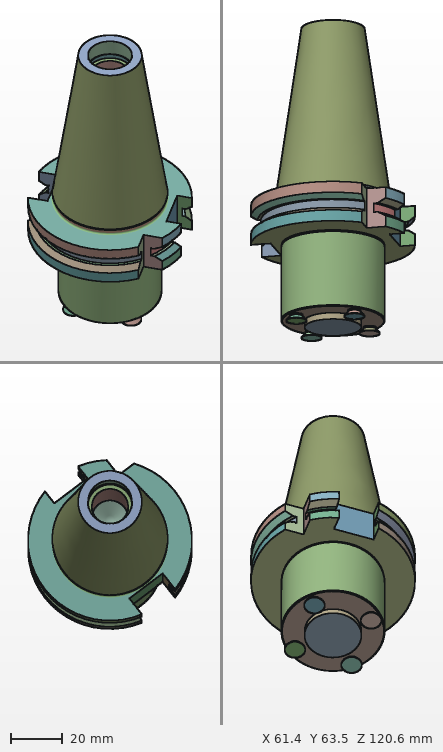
import cadquery as cq
import math

total_height = 120.6
boss_height = 2.5
flange_bottom = 33.3
flange_height = 15.9
flange_top = flange_bottom + flange_height
flange_middle = flange_bottom + flange_height / 2
taper_bottom = 51.9

taper_ratio = 7 / 24
shank_tip_diameter = 24.6
shank_base_diameter = shank_tip_diameter + taper_ratio * (total_height - taper_bottom)
shank_edge_height = 0.7
collar_diameter = 44.0
collar_fillet = 0.6

flange_diameter = 63.5
groove_diameter = 56.0
groove_shelf_diameter = 58.4
groove_outer_width = 7.1
groove_inner_width = 3.6

body_diameter = 40.0
body_edge_chamfer = 0.4
body_relief_diameter = 39.8
body_relief_height = 0.6

key_slot_width = 16.2
left_slot_floor = 22.8
right_slot_floor = 24.7
corner_notch_offset = 18.3

bore_diameter = 17.0
bore_depth = 6.5
bore_groove_diameter = 17.4
bore_groove_width = 2.0
drill_diameter = 14.0
drill_depth = 30.2
drill_point_angle = 118.0

boss_diameter = 22.0
screw_offset = 11.6
screw_shaft_diameter = 5.0
screw_head_diameter = 8.0
screw_head_rim = 0.2
screw_head_height = 1.9


def revolve_outline(outline):
    """Close an open outline and revolve it about the Z axis."""
    return outline.close().revolve(360, (0, 0, 0), (0, 1, 0))


def revolve_profile(points):
    """Revolve the outline through (radius, Z) points about the Z axis."""
    return revolve_outline(cq.Workplane("XZ").polyline(points))


def make_holder():
    """Body, flange, collar and shank as one turned piece."""
    body_radius = body_diameter / 2
    relief_radius = body_relief_diameter / 2
    flange_radius = flange_diameter / 2
    shelf_radius = groove_shelf_diameter / 2
    groove_radius = groove_diameter / 2
    collar_radius = collar_diameter / 2
    relief_bottom = flange_bottom - body_relief_height
    collar_top = taper_bottom - shank_edge_height
    fillet_diagonal = collar_fillet * (1 - math.sqrt(0.5))
    outline = cq.Workplane("XZ").polyline([
        (0, boss_height),
        (body_radius - body_edge_chamfer, boss_height),
        (body_radius, boss_height + body_edge_chamfer),
        (body_radius, relief_bottom),
        (relief_radius, relief_bottom),
        (relief_radius, flange_bottom),
        (flange_radius, flange_bottom),
        (flange_radius, flange_middle - groove_outer_width / 2),
        (shelf_radius, flange_middle - groove_inner_width / 2),
        (groove_radius, flange_middle - groove_inner_width / 2),
        (groove_radius, flange_middle + groove_inner_width / 2),
        (shelf_radius, flange_middle + groove_inner_width / 2),
        (flange_radius, flange_middle + groove_outer_width / 2),
        (flange_radius, flange_top),
        (collar_radius + collar_fillet, flange_top),
    ])
    outline = outline.threePointArc(
        (collar_radius + fillet_diagonal, flange_top + fillet_diagonal),
        (collar_radius, flange_top + collar_fillet),
    )
    outline = outline.lineTo(collar_radius, collar_top)
    outline = outline.lineTo(shank_base_diameter / 2, taper_bottom)
    outline = outline.lineTo(shank_tip_diameter / 2, total_height)
    outline = outline.lineTo(0, total_height)
    return revolve_outline(outline)


def make_flange_cut(x_min, x_max, y_min, y_max):
    """Block that cuts through the full height of the flange."""
    block = cq.Workplane("XY").box(x_max - x_min, y_max - y_min, flange_height, centered=False)
    return block.translate((x_min, y_min, flange_bottom))


def make_bore():
    """Bore with an undercut at its floor, then a drilled hole ending in a drill point."""
    bore_floor = total_height - bore_depth
    step_floor = bore_floor - bore_groove_width
    drill_floor = total_height - drill_depth
    drill_radius = drill_diameter / 2
    point_depth = drill_radius / math.tan(math.radians(drill_point_angle / 2))
    return revolve_profile([
        (0, total_height),
        (bore_diameter / 2, total_height),
        (bore_diameter / 2, bore_floor),
        (bore_groove_diameter / 2, bore_floor),
        (bore_groove_diameter / 2, step_floor),
        (drill_radius, step_floor),
        (drill_radius, drill_floor),
        (0, drill_floor - point_depth),
    ])


def make_screw():
    """Countersunk screw, head down, reaching up to the body face."""
    head_radius = screw_head_diameter / 2
    shaft_radius = screw_shaft_diameter / 2
    return revolve_profile([
        (0, 0),
        (head_radius, 0),
        (head_radius, screw_head_rim),
        (shaft_radius, screw_head_height),
        (shaft_radius, boss_height),
        (0, boss_height),
    ])


holder = make_holder()

outer = flange_diameter / 2
half_slot = key_slot_width / 2
holder = holder.cut(make_flange_cut(-outer, -left_slot_floor, -half_slot, half_slot))
holder = holder.cut(make_flange_cut(right_slot_floor, outer, -half_slot, half_slot))
holder = holder.cut(make_flange_cut(corner_notch_offset, outer, -outer, -corner_notch_offset))

holder = holder.cut(make_bore())

holder = holder.union(cq.Workplane("XY").circle(boss_diameter / 2).extrude(boss_height))
for x_side in (-1, 1):
    for y_side in (-1, 1):
        screw = make_screw().translate((x_side * screw_offset, y_side * screw_offset, 0))
        holder = holder.union(screw)

result = holder